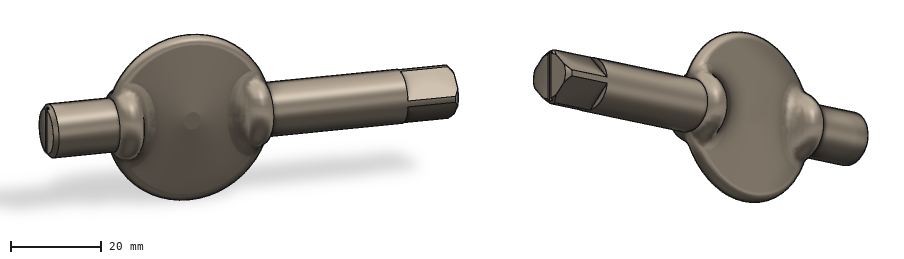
import cadquery as cq
import math

shaft_diameter = 12.0
shaft_front_y = -33.0
shaft_back_y = 61.0
end_chamfer = 1.0

disc_radius = 19.0
rim_round = 2.0
disc_center_half = 3.0
disc_flat_radius = 2.0

collar_radius = 8.0
collar_outer_y = 18.0
collar_width = 6.0
collar_blend = 3.5

square_across_flats = 9.4
square_length = 12.0

slot_width = 1.0
slot_depth = 0.5

shaft_radius = shaft_diameter / 2


def make_stub(tip_y, side):
    """Round shaft along Y from inside a collar out to its chamfered tip."""
    root_y = side * (collar_outer_y - collar_width / 2)
    length = abs(tip_y - root_y)
    stub = cq.Workplane("XZ", origin=(0, root_y, 0)).circle(shaft_radius).extrude(-side * length)
    tip = ">Y" if side > 0 else "<Y"
    return stub.faces(tip).chamfer(end_chamfer)


def make_disc():
    """Disc around X: conical faces with a small flat middle, and a full round rim."""
    rim_center = disc_radius - rim_round
    run = rim_center - disc_flat_radius
    reach = math.hypot(run, disc_center_half)
    taper = math.atan2(disc_center_half, run) - math.asin(rim_round / reach)
    tangent_x = rim_round * math.cos(taper)
    tangent_r = rim_center + rim_round * math.sin(taper)
    profile = (
        cq.Workplane("XY")
        .moveTo(-disc_center_half, 0)
        .lineTo(-disc_center_half, disc_flat_radius)
        .lineTo(-tangent_x, tangent_r)
        .threePointArc((0, disc_radius), (tangent_x, tangent_r))
        .lineTo(disc_center_half, disc_flat_radius)
        .lineTo(disc_center_half, 0)
        .close()
    )
    return profile.revolve(360, (0, 0, 0), (1, 0, 0))


def make_collar(side):
    """Collar around the shaft with a fully rounded outside; side is -1 or 1 along Y."""
    round_radius = collar_width / 2
    flat_radius = collar_radius - round_radius
    outer_y = side * collar_outer_y
    middle_y = side * (collar_outer_y - round_radius)
    inner_y = side * (collar_outer_y - collar_width)
    profile = (
        cq.Workplane("XY")
        .moveTo(0, outer_y)
        .lineTo(flat_radius, outer_y)
        .threePointArc((collar_radius, middle_y), (flat_radius, inner_y))
        .lineTo(0, inner_y)
        .close()
    )
    return profile.revolve(360, (0, 0, 0), (0, 1, 0))


def make_square_cutter():
    """Ring that leaves a square, standing on its corner, at the back end of the shaft."""
    end_plane = cq.Workplane("XZ", origin=(0, shaft_back_y, 0))
    blank = end_plane.circle(shaft_diameter).extrude(square_length)
    square = end_plane.transformed(rotate=(0, 0, 45)).rect(square_across_flats, square_across_flats)
    return blank.cut(square.extrude(square_length))


def make_slot(end_y):
    """Upright indicator slot across a shaft end."""
    return cq.Workplane("XY").box(slot_width, 2 * slot_depth, shaft_diameter).translate((0, end_y, 0))


body = make_disc().union(make_collar(-1)).union(make_collar(1))

crossing_edges = body.edges(cq.selectors.TypeSelector("BSPLINE"))
body = crossing_edges.fillet(collar_blend)

body = body.union(make_stub(shaft_front_y, -1)).union(make_stub(shaft_back_y, 1))
body = body.cut(make_square_cutter())
for tip_y in (shaft_front_y, shaft_back_y):
    body = body.cut(make_slot(tip_y))

result = body